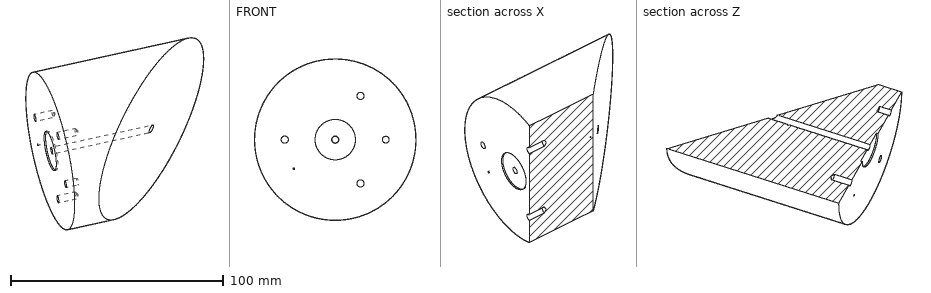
import cadquery as cq
import math

body_diameter = 76.2
body_length = 88.13

face_tilt = 45.0
short_side_length = body_length - body_diameter * math.tan(math.radians(face_tilt))

relief_diameter = 19.05
relief_depth = 0.75

through_hole_diameter = 3.2
bolt_circle_diameter = 47.625
mount_hole_diameter = 3.4
mount_hole_depth = 9.0
mount_hole_angles = (60, 180, 300)
drill_tip_angle = 118.0
pin_hole_diameter = 3.2
pin_hole_depth = 6.0
pin_hole_angle = 0
mark_hole_diameter = 0.75
mark_hole_depth = 1.0
mark_hole_angle = 215

BORE_DIRECTION = cq.Vector(0, 1, 0)


def on_bolt_circle(angle):
    """Return (x, z) of a place on the bolt circle, angle measured from +X towards +Z."""
    radius = bolt_circle_diameter / 2
    return radius * math.cos(math.radians(angle)), radius * math.sin(math.radians(angle))


def bore(diameter, depth, place=(0, 0)):
    """Flat-ended cylinder running from the mounting face in the +Y direction."""
    x, z = place
    cylinder = cq.Solid.makeCylinder(diameter / 2, depth, cq.Vector(x, 0, z), BORE_DIRECTION)
    return cq.Workplane(cylinder)


def drilled_bore(diameter, depth, place):
    """Cylinder that ends in a conical drill tip."""
    x, z = place
    tip_length = diameter / 2 / math.tan(math.radians(drill_tip_angle / 2))
    tip = cq.Solid.makeCone(diameter / 2, 0, tip_length, cq.Vector(x, depth, z), BORE_DIRECTION)
    return bore(diameter, depth, place).union(cq.Workplane(tip))


def make_body():
    """Cylinder trimmed by the oblique face."""
    radius = body_diameter / 2
    side_profile = [
        (-radius, 0),
        (radius, 0),
        (radius, short_side_length),
        (-radius, body_length),
    ]
    wedge = cq.Workplane("XY").polyline(side_profile).close().extrude(radius, both=True)
    return bore(body_diameter, body_length).intersect(wedge)


result = make_body()
result = result.cut(bore(relief_diameter, relief_depth))
result = result.cut(bore(through_hole_diameter, body_length))
for angle in mount_hole_angles:
    result = result.cut(drilled_bore(mount_hole_diameter, mount_hole_depth, on_bolt_circle(angle)))
result = result.cut(bore(pin_hole_diameter, pin_hole_depth, on_bolt_circle(pin_hole_angle)))
result = result.cut(bore(mark_hole_diameter, mark_hole_depth, on_bolt_circle(mark_hole_angle)))